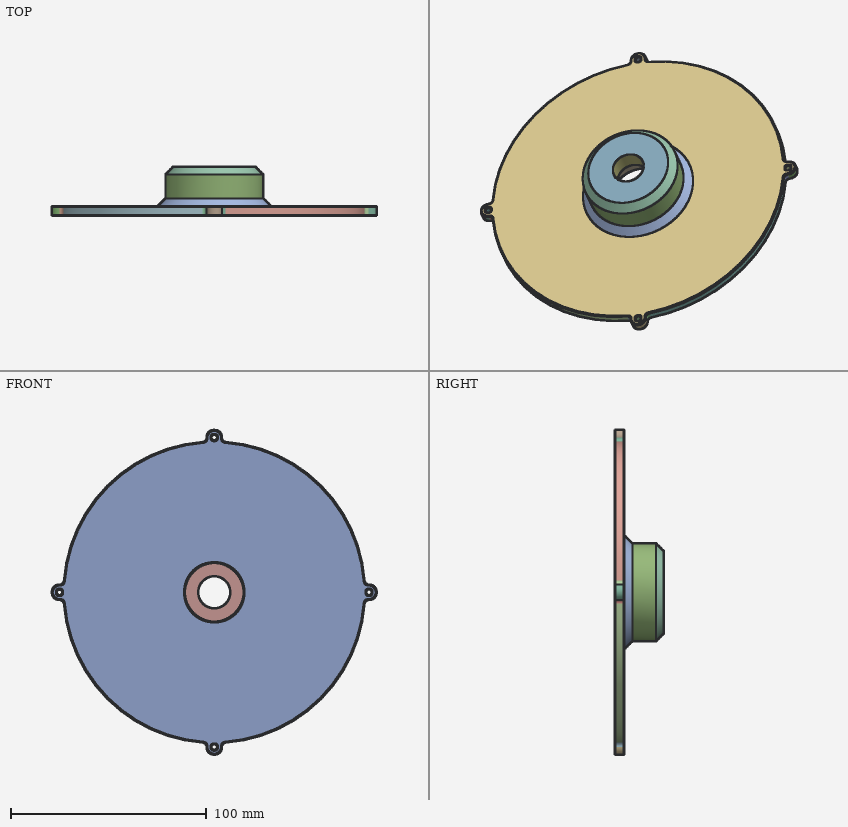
import cadquery as cq
import math

tip_radius = 83.0
total_depth = 25.0

disc_radius = 77.0
disc_thickness = 5.0
edge_chamfer = 0.5

ear_count = 4
ear_radius = 4.0
ear_offset = tip_radius - ear_radius
ear_fillet = 2.0
screw_hole_radius = 1.41

hub_radius = 25.0
hub_chamfer = 4.0

pocket_radius = 15.0
pocket_depth = 15.0
bore_radius = 8.1

tolerance = 0.002


def rod(radius, length, x=0):
    """Cylinder along +Y, starting on the front face of the disc."""
    start = cq.Vector(x, 0, 0)
    direction = cq.Vector(0, 1, 0)
    return cq.Workplane(cq.Solid.makeCylinder(radius, length, start, direction))


def turned(profile):
    """Solid of revolution about the Y axis from (radius, depth) points."""
    return cq.Workplane("XY").polyline(profile).close().revolve(360, (0, 0, 0), (0, 1, 0))


def around_axis(shape):
    """Copies of a shape spaced evenly about the main axis, one per ear."""
    return [shape.rotate((0, 0, 0), (0, 1, 0), i * 360 / ear_count) for i in range(ear_count)]


def on_disc_rim(edge):
    """True for an edge whose middle lies at the disc radius."""
    centre = edge.Center()
    return abs(math.hypot(centre.x, centre.z) - disc_radius) < tolerance


def make_plate():
    """Disc with round-ended ears blended into its rim, chamfered on both faces."""
    plate = rod(disc_radius, disc_thickness)
    ear_neck = cq.Workplane("XY").box(
        ear_offset, disc_thickness, 2 * ear_radius, centered=(False, False, True)
    )
    ear = ear_neck.union(rod(ear_radius, disc_thickness, ear_offset))
    for ear_copy in around_axis(ear):
        plate = plate.union(ear_copy)

    plate = plate.edges("|Y").filter(on_disc_rim).fillet(ear_fillet)

    for hole in around_axis(rod(screw_hole_radius, disc_thickness, ear_offset)):
        plate = plate.cut(hole)
    return plate.faces("<Y or >Y").chamfer(edge_chamfer)


def make_hub():
    """Turned hub with a flared foot and a chamfered end."""
    profile = [
        (0, edge_chamfer),
        (hub_radius + hub_chamfer, edge_chamfer),
        (hub_radius + hub_chamfer, disc_thickness),
        (hub_radius, disc_thickness + hub_chamfer),
        (hub_radius, total_depth - hub_chamfer),
        (hub_radius - hub_chamfer, total_depth),
        (0, total_depth),
    ]
    return turned(profile)


def make_bore():
    """Turned tool for the pocket, its chamfered mouth and the through hole."""
    profile = [
        (0, 0),
        (pocket_radius + edge_chamfer, 0),
        (pocket_radius, edge_chamfer),
        (pocket_radius, pocket_depth),
        (bore_radius, pocket_depth),
        (bore_radius, total_depth),
        (0, total_depth),
    ]
    return turned(profile)


result = make_plate().union(make_hub()).cut(make_bore())